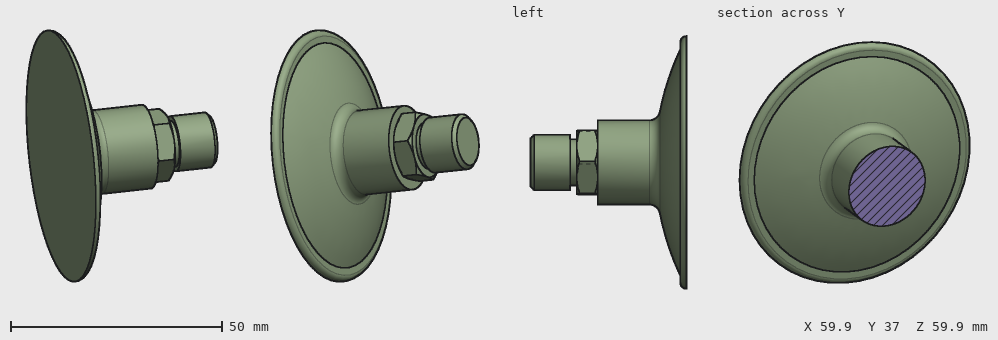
import cadquery as cq
import math

rim_top = 1.5
sleeve_start = 8.8
sleeve_end = 21.05
hex_end = 26.0
neck_end = 27.55
total_length = 37.0

cup_radius = 59.9 / 2
sleeve_radius = 20.0 / 2
neck_radius = 11.0 / 2
stud_radius = 13.2 / 2

dome_outer_radius = 26.8
root_fillet = 2.5
root_slope = math.radians(11)

hex_across_flats = 15.0
hex_turn = -2.0
hex_chamfer_angle = math.radians(30)
stud_chamfer = 0.9


def revolve_about_y(profile):
    return profile.close().revolve(360, (0, 0, 0), (0, 1, 0))


def arc_point(center, radius, angle):
    return (center[0] + radius * math.cos(angle), center[1] + radius * math.sin(angle))


def make_cup():
    """Solid cup with a rounded lip, a domed back and a filleted sleeve."""
    rim_center = (cup_radius - rim_top, 0)
    root_center = (sleeve_radius + root_fillet, sleeve_start)
    root_end_angle = 1.5 * math.pi - root_slope
    root_mid_angle = (math.pi + root_end_angle) / 2
    profile = (
        cq.Workplane("XY")
        .lineTo(0, sleeve_end)
        .lineTo(sleeve_radius, sleeve_end)
        .lineTo(sleeve_radius, sleeve_start)
        .threePointArc(
            arc_point(root_center, root_fillet, root_mid_angle),
            arc_point(root_center, root_fillet, root_end_angle),
        )
        .tangentArcPoint((dome_outer_radius, rim_top), relative=False)
        .lineTo(rim_center[0], rim_top)
        .threePointArc(arc_point(rim_center, rim_top, math.pi / 4), (cup_radius, 0))
    )
    return revolve_about_y(profile)


def make_hex():
    """Hexagon whose corners are cut by a cone at both ends."""
    flat_radius = hex_across_flats / 2
    corner_radius = flat_radius / math.cos(math.pi / 6)
    chamfer_height = (corner_radius - flat_radius) * math.tan(hex_chamfer_angle)
    prism = (
        cq.Workplane("XZ", origin=(0, sleeve_end, 0))
        .polygon(6, 2 * corner_radius)
        .extrude(sleeve_end - hex_end)
        .rotate((0, 0, 0), (0, 1, 0), -hex_turn)
    )
    envelope = revolve_about_y(
        cq.Workplane("XY")
        .moveTo(0, sleeve_end)
        .lineTo(flat_radius, sleeve_end)
        .lineTo(corner_radius, sleeve_end + chamfer_height)
        .lineTo(corner_radius, hex_end - chamfer_height)
        .lineTo(flat_radius, hex_end)
        .lineTo(0, hex_end)
    )
    return prism.intersect(envelope)


def make_stud():
    """Relief neck and stud with a chamfered free end."""
    profile = (
        cq.Workplane("XY")
        .moveTo(0, hex_end)
        .lineTo(neck_radius, hex_end)
        .lineTo(neck_radius, neck_end)
        .lineTo(stud_radius, neck_end)
        .lineTo(stud_radius, total_length - stud_chamfer)
        .lineTo(stud_radius - stud_chamfer, total_length)
        .lineTo(0, total_length)
    )
    return revolve_about_y(profile)


result = make_cup().union(make_hex()).union(make_stud())